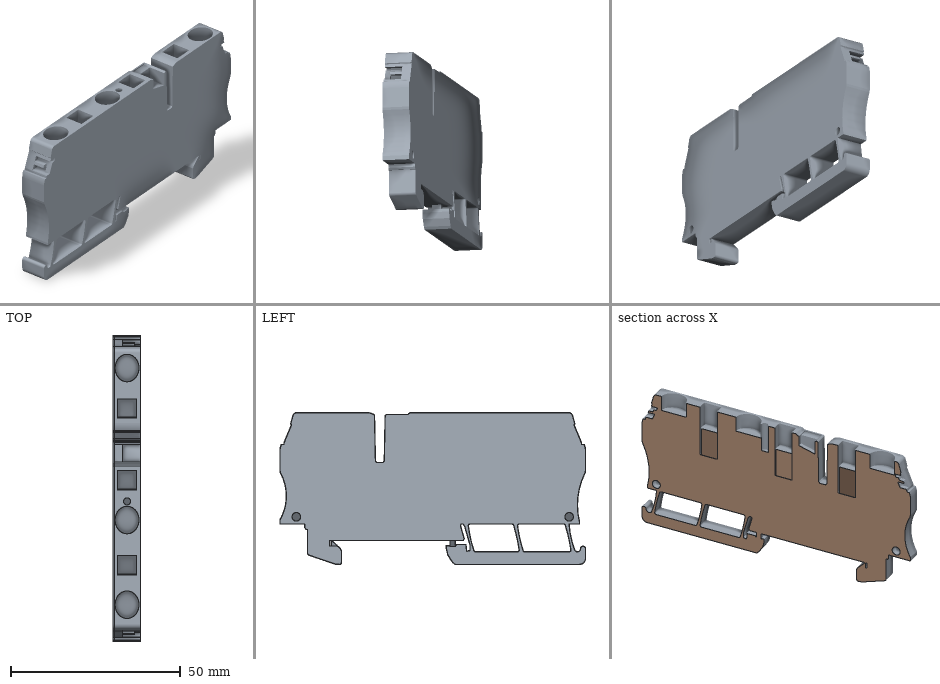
import cadquery as cq

length = 90.0
width = 8.1
height = 44.7
half = length / 2

step_top = height - 0.5
flank_bottom = 11.9
rail_seat = 7.0
beam_top = 3.8

cover_thickness = 0.45
cover_span = (0.0, cover_thickness)
housing_span = (cover_thickness, width)

crown_start = (5.0, height)
crown_middle = (4.4, height - 0.2)
crown_end = (3.9, height - 0.8)
lip_bottom = (3.15, 41.4)
slope_top = (3.4, 41.1)
slope_bottom = (1.3, 36.0)
shelf_inner = (1.2, 35.4)
shelf_outer = (0.45, 35.4)
bead_middle = (0.13, 34.5)
bead_end = (0.0, 33.5)
grip_edge = (0.0, 27.6)
grip_top = (0.2, 26.9)

rear_grip_middle = (1.9, 19.9)
rear_grip_end = (0.0, 13.1)
front_grip_middle = (2.3, 18.9)
front_grip_end = (1.8, 12.6)

slot_rear = 17.1
slot_front = 14.0
slot_taper = 0.3
slot_bottom = 30.1
slot_corner = 0.4
lead_in = 2.2
lead_in_drop = 0.7
step_front = 7.3
step_run = 0.6

hook_rear = 36.9
hook_shoulder = 0.8
hook_root = 10.3
hook_toe_level = 4.0
hook_tip = 26.8
hook_throat = 30.3
hook_ledge = 5.5
hook_ledge_end = 28.3
hook_wedge = [(29.9, rail_seat), (29.9, 4.95), (27.2, 4.1), (27.4, 4.9), (29.5, 6.9)]

foot_tip = -4.0
foot_lip = 5.6
foot_ledge = 5.9
nub_foot = 4.6
foot_corner = 1.8
spring_slot_top = -8.2
window_tops = [(-10.4, -23.7), (-24.9, -38.9)]
window_lean = 1.8
window_rear_bow = 0.675
window_front_bow = 1.1
window_corner = 0.45
link_rear = -5.0
link_front = -6.7
link_span = (2.7, 5.4)
link_seat = 5.3

opening_x = 4.1
wire_centers = [35.5, -9.3, -34.2]
wire_length = 8.1
wire_breadth = 7.0
wire_depth = 4.8
button_centers = [23.6, 2.4, -22.6]
button_side = 5.7
button_recess = 7.2
button_height = 9.0
button_gap = 0.3
test_center = -3.8
test_diameter = 2.1
test_depth = 9.0

pin_diameter = 2.5
pin_inset = 4.9
pin_level = 14.0
pin_depth = 4.5

ledge_x = 2.8
end_pocket_low = 36.2
end_pocket_high = 40.2
end_pocket_depth = 1.35
end_groove_depth = 2.2
end_groove_low = 39.4
end_groove_tip = 6.5
end_rib_low = 37.8
end_rib_high = 38.6
end_rib_tip = 6.3
pocket_rear = 13.0
pocket_front = 7.7
ridge_front = 13.5
ledge_top = step_top - 0.4
floor_low = 39.6
floor_high = 40.95


def profile():
    """Start an outline in the YZ plane."""
    return cq.Workplane("YZ")


def prism(outline, span):
    """Extrude a closed YZ outline over an X range."""
    return outline.extrude(span[1] - span[0]).translate((span[0], 0, 0))


def rear(point):
    """Place an (inset, Z) point at the +Y end."""
    inset, level = point
    return (half - inset, level)


def front(point):
    """Place an (inset, Z) point at the -Y end."""
    inset, level = point
    return (inset - half, level)


def block_outline():
    """Outline of the insulating block with its rail hook, without the foot."""
    outline = profile().moveTo(*rear(crown_start)).threePointArc(rear(crown_middle), rear(crown_end))
    for point in [lip_bottom, slope_top, slope_bottom, shelf_inner, shelf_outer]:
        outline = outline.lineTo(*rear(point))
    outline = (
        outline.threePointArc(rear(bead_middle), rear(bead_end))
        .lineTo(*rear(grip_edge))
        .lineTo(*rear(grip_top))
        .threePointArc(rear(rear_grip_middle), rear(rear_grip_end))
        .lineTo(half, flank_bottom)
        .lineTo(hook_rear + hook_shoulder, flank_bottom)
        .lineTo(hook_rear + hook_shoulder, 10.9)
        .lineTo(hook_rear + 0.4, hook_root)
        .lineTo(hook_rear, hook_root)
        .lineTo(hook_rear, 3.4)
        .threePointArc((hook_rear - 0.2, 3.0), (hook_rear - 0.5, 2.7))
        .lineTo(28.7, 0.1)
        .lineTo(hook_tip + 0.6, 0.0)
        .threePointArc((hook_tip + 0.2, 0.225), (hook_tip, 0.6))
        .lineTo(hook_tip, hook_toe_level)
        .threePointArc((hook_tip + 0.45, 4.8), (hook_ledge_end, hook_ledge))
        .lineTo(hook_throat, hook_ledge)
        .lineTo(hook_throat, rail_seat)
        .lineTo(spring_slot_top - 0.8, rail_seat)
        .lineTo(spring_slot_top - 1.1, rail_seat + 0.6)
        .lineTo(spring_slot_top, flank_bottom - 0.45)
        .lineTo(spring_slot_top - 0.2, flank_bottom)
        .lineTo(front(front_grip_end)[0], flank_bottom)
        .lineTo(*front(front_grip_end))
        .threePointArc(front(front_grip_middle), front(grip_top))
        .lineTo(*front(grip_edge))
        .lineTo(*front(bead_end))
        .threePointArc(front(bead_middle), front(shelf_outer))
    )
    for point in [shelf_inner, slope_bottom, slope_top, lip_bottom, crown_end]:
        outline = outline.lineTo(*front(point))
    return (
        outline.threePointArc(front(crown_middle), front(crown_start))
        .lineTo(step_front - step_run, height)
        .lineTo(step_front, step_top)
        .lineTo(slot_front - slot_corner, step_top)
        .lineTo(slot_front, step_top - slot_corner)
        .lineTo(slot_front + slot_taper, slot_bottom + slot_corner)
        .lineTo(slot_front + slot_taper + slot_corner, slot_bottom)
        .lineTo(slot_rear - slot_taper - slot_corner, slot_bottom)
        .lineTo(slot_rear - slot_taper, slot_bottom + slot_corner)
        .lineTo(slot_rear, height - lead_in_drop)
        .threePointArc((slot_rear + 0.6, height - 0.4), (slot_rear + lead_in, height))
        .close()
    )


def foot_outline():
    """Outline of the foot beam and its sprung struts, with the windows still filled."""
    return (
        profile()
        .moveTo(foot_tip, foot_lip)
        .lineTo(foot_tip, 4.7)
        .lineTo(-4.4, 2.8)
        .lineTo(-5.8, 0.7)
        .lineTo(-6.6, 0.0)
        .lineTo(foot_corner - half, 0.0)
        .threePointArc((0.5 - half, 0.5), (-half, foot_corner))
        .lineTo(-half, nub_foot)
        .threePointArc((0.7 - half, 5.4), (1.5 - half, nub_foot))
        .threePointArc((2.4 - half, beam_top), (3.2 - half, 4.3))
        .threePointArc((-40.7, 8.1), (-40.1, flank_bottom))
        .lineTo(-8.9, flank_bottom)
        .lineTo(-9.4, 11.25)
        .lineTo(-10.9, 5.85)
        .lineTo(-10.9, 4.1)
        .lineTo(-10.0, 4.0)
        .lineTo(-9.8, foot_ledge)
        .lineTo(-7.1, foot_ledge)
        .lineTo(link_front, foot_lip)
        .lineTo(link_front, link_seat)
        .lineTo(link_rear, link_seat)
        .lineTo(link_rear + 0.2, foot_lip)
        .close()
    )


def foot_window(rear_y, front_y, span):
    """Leaning opening between two bowed struts of the foot."""
    middle = (flank_bottom + beam_top) / 2
    outline = (
        profile()
        .moveTo(rear_y, flank_bottom)
        .threePointArc((rear_y - window_rear_bow, middle), (rear_y - window_lean, beam_top))
        .lineTo(front_y - window_lean, beam_top)
        .threePointArc((front_y - window_front_bow, middle), (front_y, flank_bottom))
        .close()
    )
    return prism(outline, span).edges("|X").fillet(window_corner)


def slice_of_block(span):
    """The shared contour of housing and cover over an X range, with its cross holes."""
    body = prism(block_outline(), span).union(prism(foot_outline(), span))
    for rear_y, front_y in window_tops:
        body = body.cut(foot_window(rear_y, front_y, span))
    pin_end = min(span[1], pin_depth)
    for side in (-1, 1):
        hole = profile().center(side * (half - pin_inset), pin_level).circle(pin_diameter / 2)
        body = body.cut(prism(hole, (span[0], pin_end)))
    return body


def top_sketch(y, level):
    """Horizontal plane centred on an opening."""
    return cq.Workplane("XY", origin=(opening_x, y, level))


def slope_inset(level):
    """Distance of the sloping end face from the end of the block at a given Z."""
    rise = (level - slope_bottom[1]) / (slope_top[1] - slope_bottom[1])
    return slope_bottom[0] + rise * (slope_top[0] - slope_bottom[0])


def slope_band(place, low, high, depth, x_end):
    """Bar along the sloping end face, reaching the given depth to either side of it."""
    corners = [
        (slope_inset(low) - depth, low),
        (slope_inset(low) + depth, low),
        (slope_inset(high) + depth, high),
        (slope_inset(high) - depth, high),
    ]
    outline = profile().polyline([place(corner) for corner in corners]).close()
    return prism(outline, (ledge_x, x_end))


def end_pocket(place):
    """Marker pocket in one sloping end: a shallow field, two deeper grooves and a rib between them."""
    field = slope_band(place, end_pocket_low, end_pocket_high, end_pocket_depth, width)
    top_groove = slope_band(place, end_groove_low, end_pocket_high, end_groove_depth, width)
    low_groove = slope_band(place, end_pocket_low, end_rib_low, end_groove_depth, end_groove_tip)
    rib = slope_band(place, end_rib_low, end_rib_high, end_pocket_depth, end_rib_tip)
    return field.union(top_groove).union(low_groove).cut(rib)


def middle_pocket():
    """Marker pocket beside the slot: a lowered ledge behind the cover and a deep sloping floor."""
    ledge = profile().polyline([
        (ridge_front, step_top),
        (pocket_rear, ledge_top),
        (pocket_front, ledge_top),
        (pocket_front, height),
        (ridge_front, height),
    ]).close()
    well = profile().polyline([
        (pocket_rear, height),
        (pocket_rear, floor_low),
        (pocket_front, floor_high),
        (pocket_front, height),
    ]).close()
    return prism(ledge, housing_span).union(prism(well, (ledge_x, width)))


def make_housing():
    """Housing with its hook wedge, foot link, top openings and marker pockets."""
    housing = slice_of_block(housing_span)
    housing = housing.union(prism(profile().polyline(hook_wedge).close(), housing_span))
    link = profile().polyline([
        (link_rear, rail_seat), (link_front, rail_seat), (link_front, link_seat), (link_rear, link_seat),
    ]).close()
    housing = housing.union(prism(link, link_span))
    for y in wire_centers:
        funnel = top_sketch(y, height).ellipse(wire_breadth / 2, wire_length / 2).extrude(-wire_depth)
        housing = housing.cut(funnel)
    for y in button_centers:
        shaft_depth = button_recess + button_height
        shaft = top_sketch(y, height).rect(button_side, button_side).extrude(-shaft_depth)
        housing = housing.cut(shaft)
    test_hole = top_sketch(test_center, height).circle(test_diameter / 2).extrude(-test_depth)
    housing = housing.cut(test_hole).cut(middle_pocket())
    for place in (rear, front):
        housing = housing.cut(end_pocket(place))
    return housing


def make_button(y):
    """Release button at the bottom of its shaft, with a gap on its -Y side."""
    return (
        top_sketch(y + button_gap / 2, height - button_recess)
        .rect(button_side, button_side - button_gap)
        .extrude(-button_height)
    )


cover = slice_of_block(cover_span)
housing = make_housing()
buttons = [make_button(y) for y in button_centers]

result = cq.Compound.makeCompound([housing.val(), cover.val(), *[button.val() for button in buttons]])